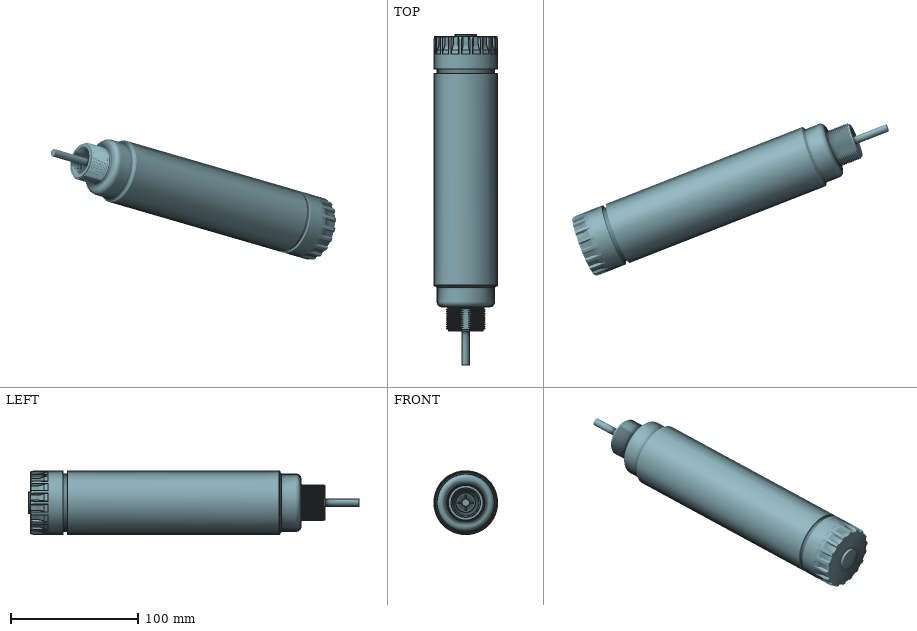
import cadquery as cq
import math


body_radius = 25.0
nose_radius = 22.5
nose_fillet = 3.8
nose_length = 15.1
shoulder_cone_length = 1.3
shoulder_cone_radius = nose_radius + shoulder_cone_length
shoulder_chamfer = 0.4
shoulder_chamfer_length = 0.7
shoulder_cone_end_y = nose_length + shoulder_cone_length
shoulder_y = shoulder_cone_end_y + shoulder_chamfer_length

cap_face_y = 212.4
cap_rim_taper = 0.6
cap_rim_length = 2.4
cap_groove_radius = 22.6
cap_groove_width = 3.6
cap_groove_y = 183.4
button_radius = 8.3
button_height = 1.7

grip_count = 18
grip_mouth_width = 6.7
grip_floor_width = 4.1
grip_depth = 2.0
grip_shallow_depth = 0.7
grip_end_depth = 0.3
grip_length = 13.6
grip_deep_length = 5.5
grip_shallow_start = 10.4

thread_radius = 15.0
thread_pitch = 1.5
thread_depth = 0.92
thread_root_radius = thread_radius - thread_depth
thread_count = 11
nipple_length = 18.9
collar_radius = 14.9
collar_length = 0.9
neck_radius = 13.9
neck_length = 1.3
thread_end_y = -neck_length - thread_count * thread_pitch
nipple_tip_radius = 13.7
flat_offset = 13.9

bore_mouth_radius = 11.5
bore_crest_radius = 10.4
bore_root_radius = 11.2
bore_thread_count = 6
bore_floor_radius = 7.7
bore_depth = 14.0
slit_width = 0.9
slit_reach = 6.2
slit_depth = 4.0

cable_radius = 3.0
cable_end_y = -45.75
cable_socket_depth = 10.0

bore_floor_y = bore_depth - nipple_length
cable_start_y = bore_floor_y + cable_socket_depth


def cylinder(radius, start_y, length):
    """Cylinder on the Y axis from start_y towards +Y."""
    plane = cq.Workplane("XZ", origin=(0, start_y, 0))
    return plane.circle(radius).extrude(-length)


def make_column():
    """Turned profile of collar, base, column, cap and button."""
    groove_end_y = cap_groove_y + cap_groove_width
    fillet_diagonal = 1 - math.sqrt(0.5)
    nose_mid = fillet_diagonal * nose_fillet
    profile = (
        cq.Workplane("XY")
        .moveTo(0, -collar_length)
        .lineTo(neck_radius, -collar_length)
        .lineTo(collar_radius, 0)
        .lineTo(nose_radius - nose_fillet, 0)
        .threePointArc((nose_radius - nose_mid, nose_mid), (nose_radius, nose_fillet))
        .lineTo(nose_radius, nose_length)
        .lineTo(shoulder_cone_radius, shoulder_cone_end_y)
        .lineTo(body_radius - shoulder_chamfer, shoulder_cone_end_y)
        .lineTo(body_radius, shoulder_y)
        .lineTo(body_radius, cap_groove_y)
        .lineTo(cap_groove_radius, cap_groove_y)
        .lineTo(cap_groove_radius, groove_end_y)
        .lineTo(body_radius, groove_end_y)
        .lineTo(body_radius, cap_face_y - cap_rim_length)
        .lineTo(body_radius - cap_rim_taper, cap_face_y)
        .lineTo(button_radius, cap_face_y)
        .lineTo(button_radius, cap_face_y + button_height)
        .lineTo(0, cap_face_y + button_height)
        .close()
    )
    return profile.revolve(360, (0, 0, 0), (0, 1, 0))


def make_grip_cutter():
    """Finger recess at +Z: a slant-sided channel whose floor curves up into a shallow ramp."""
    floor_z = body_radius - grip_depth
    clear_z = body_radius + grip_depth
    front_y = cap_face_y + grip_depth
    end_y = cap_face_y - grip_length
    clear_width = 2 * grip_mouth_width - grip_floor_width
    channel = (
        cq.Workplane("XZ", origin=(0, end_y, 0))
        .moveTo(-grip_floor_width / 2, floor_z)
        .lineTo(grip_floor_width / 2, floor_z)
        .lineTo(clear_width / 2, clear_z)
        .lineTo(-clear_width / 2, clear_z)
        .close()
        .extrude(end_y - front_y)
    )
    side_profile = (
        cq.Workplane("YZ")
        .moveTo(front_y, floor_z)
        .lineTo(cap_face_y - grip_deep_length, floor_z)
        .tangentArcPoint((cap_face_y - grip_shallow_start, body_radius - grip_shallow_depth), relative=False)
        .lineTo(end_y, body_radius - grip_end_depth)
        .lineTo(end_y, clear_z)
        .lineTo(front_y, clear_z)
        .close()
        .extrude(clear_width / 2, both=True)
    )
    return channel.intersect(side_profile)


def make_nipple():
    """Threaded stub with ring-shaped thread crests and two flats."""
    profile = cq.Workplane("XY").moveTo(0, 0).lineTo(neck_radius, 0)
    profile = profile.lineTo(neck_radius, -neck_length)
    for index in range(thread_count):
        start_y = -neck_length - index * thread_pitch
        profile = profile.lineTo(thread_root_radius, start_y)
        profile = profile.lineTo(thread_radius, start_y - thread_pitch / 2)
    profile = (
        profile.lineTo(thread_root_radius, thread_end_y)
        .lineTo(nipple_tip_radius, thread_end_y)
        .lineTo(nipple_tip_radius, -nipple_length)
        .lineTo(0, -nipple_length)
        .close()
    )
    stub = profile.revolve(360, (0, 0, 0), (0, 1, 0))
    between_flats = cq.Workplane("XY").box(
        2 * body_radius, 2 * nipple_length, 2 * flat_offset
    )
    return stub.intersect(between_flats)


def make_bore():
    """Countersunk, ring-threaded opening that tapers down to the clamp face."""
    thread_start_y = bore_mouth_radius - bore_crest_radius - nipple_length
    profile = cq.Workplane("XY").moveTo(0, -nipple_length)
    profile = profile.lineTo(bore_mouth_radius, -nipple_length)
    profile = profile.lineTo(bore_crest_radius, thread_start_y)
    for index in range(bore_thread_count):
        start_y = thread_start_y + index * thread_pitch
        profile = profile.lineTo(bore_root_radius, start_y + thread_pitch / 2)
        profile = profile.lineTo(bore_crest_radius, start_y + thread_pitch)
    profile = profile.lineTo(bore_floor_radius, bore_floor_y).lineTo(0, bore_floor_y).close()
    return profile.revolve(360, (0, 0, 0), (0, 1, 0))


def make_slits():
    """Crossed slits in the clamp face."""
    plane = cq.Workplane("XZ", origin=(0, bore_floor_y, 0))
    across = plane.rect(2 * slit_reach, slit_width).extrude(-slit_depth)
    upright = plane.rect(slit_width, 2 * slit_reach).extrude(-slit_depth)
    return across.union(upright)


def make_housing(cable):
    housing = make_column()
    grip_cutter = make_grip_cutter()
    for index in range(grip_count):
        angle = index * 360 / grip_count
        housing = housing.cut(grip_cutter.rotate((0, 0, 0), (0, 1, 0), angle))
    housing = housing.union(make_nipple())
    return housing.cut(make_bore()).cut(make_slits()).cut(cable)


def make_cable():
    return cylinder(cable_radius, cable_end_y, cable_start_y - cable_end_y)


cable = make_cable()
housing = make_housing(cable)

result = cq.Compound.makeCompound([housing.val(), cable.val()])